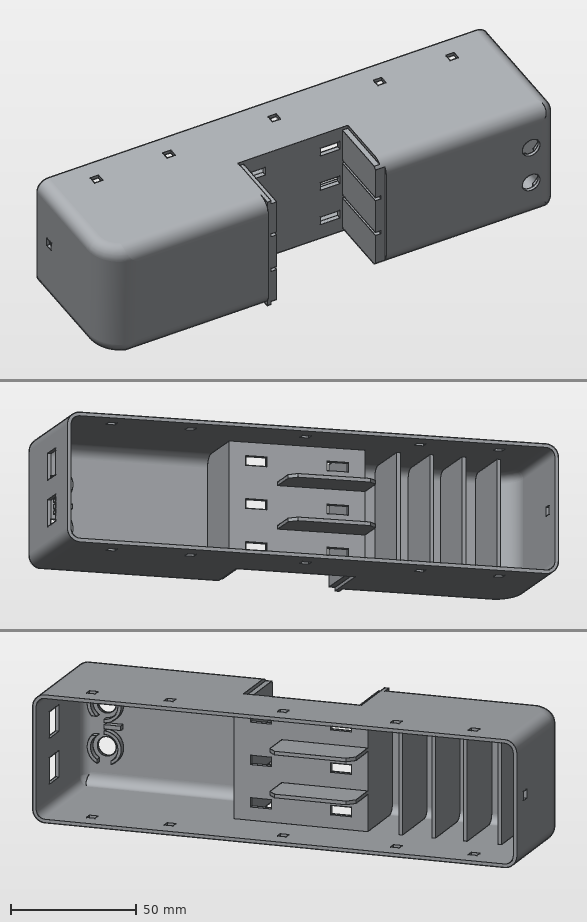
import cadquery as cq

DEPTH = 57.0
LENGTH = 205.39
HEIGHT = 53.1
WALL = 1.5
LARGE_CORNER_RADIUS = 14.6
SMALL_CORNER_RADIUS = 6.4
INNER_SMALL_CORNER_RADIUS = 3.5
RIM_RADIUS = 5.3
INNER_RIM_RADIUS = RIM_RADIUS - WALL
BACK_RADIUS = 6.4
OVERCUT = 10.0

BAY_CENTER_Y = 101.1
BAY_OUTER_WIDTH = 56.8
BAY_OPENING_WIDTH = 45.0
BAY_GROOVE_WIDTH = 50.0
BAY_RECESS_WIDTH = 53.6
BAY_RECESS_DEPTH = 1.2
BAY_FLOOR_X = 28.4
BAY_BACK_WALL = 2.0
BAY_BACK_X = BAY_FLOOR_X - BAY_BACK_WALL
BAY_OUTER_LOW_Y = BAY_CENTER_Y - BAY_OUTER_WIDTH / 2
BAY_OUTER_HIGH_Y = BAY_CENTER_Y + BAY_OUTER_WIDTH / 2

WINDOW_WIDTH = 8.9
WINDOW_HEIGHT = 3.9
WINDOW_SPACING_Y = 34.0
WINDOW_SPACING_Z = 17.6

FIN_THICKNESS = 1.5
FIN_FRONT_X = 9.3
FIN_LENGTH = 36.5
FIN_CHAMFER = 3.1
FIN_OFFSET_Z = 8.9

PARTITION_THICKNESS = 1.5
PARTITION_CENTERS_Y = (58.7, 44.8, 31.3, 16.7)

LATCH_SIZE = 3.7
LATCH_X = 10.0
LATCH_CENTER_Y = LENGTH / 2
LATCH_OFFSETS_Y = (-81.0, -48.0, 0.0, 48.0, 81.0)
END_LATCH_Z = 1.5

PORT_SIZE = 11.0
PORT_CENTER_X = 21.5
PORT_OFFSET_Z = 9.5
ROUND_HOLE_DIAMETER = 8.0
ROUND_HOLE_Y = 193.9
ROUND_HOLE_OFFSET_Z = 8.9

COLLAR_INNER_RADIUS = 5.8
COLLAR_OUTER_RADIUS = 7.2
COLLAR_GAP = 6.0
COLLAR_END_Z = 4.0
COLLAR_HEIGHT = 3.0
RIB_LENGTH = 7.0
RIB_THICKNESS = 1.8


def block(x_range, y_range, z_range):
    """Box between the given limits on each axis."""
    sizes = [high - low for low, high in (x_range, y_range, z_range)]
    corner = (x_range[0], y_range[0], z_range[0])
    return cq.Workplane("XY").box(*sizes, centered=False).translate(corner)


def centered_block(x_range, y_center, width, z_center, height):
    """Box with X limits, centred on the given Y and Z."""
    y_range = (y_center - width / 2, y_center + width / 2)
    z_range = (z_center - height / 2, z_center + height / 2)
    return block(x_range, y_range, z_range)


def back_rounded_bar(depth, y_range, height, radius):
    """Bar along Y whose two long +X edges are rounded."""
    bar = block((0, depth), y_range, (-height / 2, height / 2))
    return bar.edges("|Y and >X").fillet(radius)


def rounded_body(inset, small_corner_radius, rim_radius):
    """Housing shape offset inward by inset, with a flat open side at X = 0."""
    body = block(
        (0, DEPTH - inset),
        (inset, LENGTH - inset),
        (inset - HEIGHT / 2, HEIGHT / 2 - inset),
    )
    body = body.edges("|Z and >X and <Y").fillet(LARGE_CORNER_RADIUS - inset)
    body = body.edges("|Z and >X and >Y").fillet(small_corner_radius)
    rims = body.faces("<Z or >Z").edges("not <X")
    return rims.fillet(rim_radius)


def make_shell():
    """Return the solid outer shape and the hollowed housing."""
    outer = rounded_body(0, SMALL_CORNER_RADIUS, RIM_RADIUS)
    outer = outer.intersect(back_rounded_bar(DEPTH, (0, LENGTH), HEIGHT, BACK_RADIUS))

    cavity = rounded_body(WALL, INNER_SMALL_CORNER_RADIUS, INNER_RIM_RADIUS)
    inner_height = HEIGHT - 2 * WALL
    low_part = block((0, DEPTH), (0, BAY_CENTER_Y), (-HEIGHT, HEIGHT))
    high_part = back_rounded_bar(
        DEPTH - WALL, (BAY_CENTER_Y, LENGTH), inner_height, BACK_RADIUS - WALL
    )
    cavity = cavity.intersect(low_part).union(cavity.intersect(high_part))
    return outer, outer.cut(cavity)


def add_bay(shell, outer):
    z_range = (-HEIGHT / 2, HEIGHT / 2)
    past_back = DEPTH + OVERCUT
    bay = block((BAY_BACK_X, DEPTH), (BAY_OUTER_LOW_Y, BAY_OUTER_HIGH_Y), z_range)
    part = shell.union(bay.intersect(outer))

    recess = centered_block(
        (DEPTH - BAY_RECESS_DEPTH, past_back), BAY_CENTER_Y, BAY_RECESS_WIDTH, 0, HEIGHT
    )
    part = part.cut(recess)

    square_wall_y = (BAY_CENTER_Y - BAY_RECESS_WIDTH / 2, BAY_CENTER_Y)
    part = part.union(block((BAY_FLOOR_X, DEPTH - BAY_RECESS_DEPTH), square_wall_y, z_range))

    opening = centered_block(
        (BAY_FLOOR_X, past_back), BAY_CENTER_Y, BAY_OPENING_WIDTH, 0, HEIGHT
    )
    part = part.cut(opening)

    skin_z = (HEIGHT - WALL) / 2
    for groove_z in (-skin_z, -FIN_OFFSET_Z, FIN_OFFSET_Z, skin_z):
        groove = centered_block(
            (BAY_FLOOR_X, past_back), BAY_CENTER_Y, BAY_GROOVE_WIDTH, groove_z, WALL
        )
        part = part.cut(groove)
    return part


def cut_windows(part):
    for y_side in (-1, 1):
        for z_step in (-1, 0, 1):
            window = centered_block(
                (BAY_BACK_X, BAY_FLOOR_X),
                BAY_CENTER_Y + y_side * WINDOW_SPACING_Y / 2,
                WINDOW_WIDTH,
                z_step * WINDOW_SPACING_Z,
                WINDOW_HEIGHT,
            )
            part = part.cut(window)
    return part


def add_fins(part):
    fin_center_y = BAY_OUTER_LOW_Y + FIN_LENGTH / 2
    for z_side in (-1, 1):
        fin = centered_block(
            (FIN_FRONT_X, BAY_BACK_X),
            fin_center_y,
            FIN_LENGTH,
            z_side * FIN_OFFSET_Z,
            FIN_THICKNESS,
        )
        fin = fin.edges("|Z and <X").chamfer(FIN_CHAMFER)
        part = part.union(fin)
    return part


def add_partitions(part, outer):
    for center_y in PARTITION_CENTERS_Y:
        partition = centered_block(
            (BAY_BACK_X, DEPTH), center_y, PARTITION_THICKNESS, 0, HEIGHT
        )
        part = part.union(partition.intersect(outer))
    return part


def cut_latch_holes(part):
    x_range = (LATCH_X - LATCH_SIZE / 2, LATCH_X + LATCH_SIZE / 2)
    for side in (-1, 1):
        skin_z = side * (HEIGHT - WALL) / 2
        for offset_y in LATCH_OFFSETS_Y:
            center_y = LATCH_CENTER_Y + offset_y
            part = part.cut(centered_block(x_range, center_y, LATCH_SIZE, skin_z, WALL))
    return part.cut(centered_block(x_range, WALL / 2, WALL, END_LATCH_Z, LATCH_SIZE))


def cut_end_openings(part):
    port_x = (PORT_CENTER_X - PORT_SIZE / 2, PORT_CENTER_X + PORT_SIZE / 2)
    for side in (-1, 1):
        port = centered_block(
            port_x, LENGTH - WALL / 2, WALL, side * PORT_OFFSET_Z, PORT_SIZE
        )
        round_hole = (
            cq.Workplane("YZ", origin=(DEPTH - WALL, 0, 0))
            .center(ROUND_HOLE_Y, side * ROUND_HOLE_OFFSET_Z)
            .circle(ROUND_HOLE_DIAMETER / 2)
            .extrude(WALL)
        )
        part = part.cut(port).cut(round_hole)
    return part


def add_collars(part):
    inner_face_x = DEPTH - WALL
    x_range = (inner_face_x - COLLAR_HEIGHT, inner_face_x)
    gap_y = (ROUND_HOLE_Y - COLLAR_GAP / 2, ROUND_HOLE_Y + COLLAR_GAP / 2)
    for side in (-1, 1):
        center_z = side * ROUND_HOLE_OFFSET_Z
        ring = (
            cq.Workplane("YZ", origin=(x_range[0], 0, 0))
            .center(ROUND_HOLE_Y, center_z)
            .circle(COLLAR_OUTER_RADIUS)
            .circle(COLLAR_INNER_RADIUS)
            .extrude(COLLAR_HEIGHT + WALL / 2)
        )
        far_gap_z = sorted((center_z, side * HEIGHT / 2))
        far_gap = block((0, DEPTH), gap_y, far_gap_z)
        near_gap_z = sorted((0, side * COLLAR_END_Z))
        near_gap = block((0, DEPTH), (ROUND_HOLE_Y, LENGTH), near_gap_z)
        part = part.union(ring.cut(far_gap).cut(near_gap))

    rib_center_y = ROUND_HOLE_Y - RIB_LENGTH / 2
    return part.union(centered_block(x_range, rib_center_y, RIB_LENGTH, 0, RIB_THICKNESS))


outer_body, housing = make_shell()
housing = add_bay(housing, outer_body)
housing = cut_windows(housing)
housing = add_fins(housing)
housing = add_partitions(housing, outer_body)
housing = cut_latch_holes(housing)
housing = add_collars(housing)
result = cut_end_openings(housing)